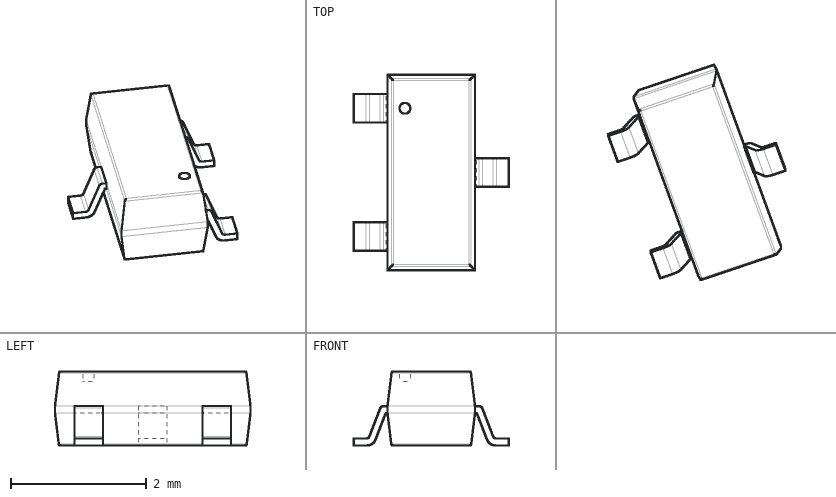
import cadquery as cq
import math

BODY_X = 1.3
BODY_Y = 2.9
BODY_Z = 1.1
DRAFT = 7.0
BODY_EDGE_RADIUS = 0.03

MARK_DIAMETER = 0.16
MARK_DEPTH = 0.15
MARK_X = -0.39

SPAN_X = 2.3
LEAD_WIDTH = 0.425
LEAD_THICKNESS = 0.105
LEAD_TOP = 0.585
SHOULDER_LENGTH = 0.095
FOOT_LENGTH = 0.22
BEND_RADIUS = 0.05
HEEL_RADIUS = 0.14
ROW_PITCH = 1.9

band_bottom = LEAD_TOP - LEAD_THICKNESS
mark_y = ROW_PITCH / 2


def make_body():
    """Straight parting band with tapered halves above and below it, and a pin-1 mark."""
    band = cq.Workplane("XY").workplane(offset=band_bottom).rect(BODY_X, BODY_Y).extrude(LEAD_THICKNESS)
    upper = (
        cq.Workplane("XY").workplane(offset=LEAD_TOP)
        .rect(BODY_X, BODY_Y).extrude(BODY_Z - LEAD_TOP, taper=DRAFT)
    )
    lower = (
        cq.Workplane("XY").workplane(offset=band_bottom)
        .rect(BODY_X, BODY_Y).extrude(-band_bottom, taper=DRAFT)
    )
    upper = upper.faces(">Z").edges().fillet(BODY_EDGE_RADIUS)
    lower = lower.faces("<Z").edges().fillet(BODY_EDGE_RADIUS)
    mark = (
        cq.Workplane("XY").workplane(offset=BODY_Z - MARK_DEPTH)
        .center(MARK_X, mark_y).circle(MARK_DIAMETER / 2).extrude(MARK_DEPTH)
    )
    return band.union(upper).union(lower).cut(mark)


def make_lead(side, y):
    """Gull-wing lead butting on the body's parting band; side is +1 or -1 along X."""
    root_x = BODY_X / 2
    tip_x = SPAN_X / 2
    knee_x = root_x + SHOULDER_LENGTH
    heel_x = tip_x - FOOT_LENGTH

    bend_angle = math.atan2(LEAD_TOP - LEAD_THICKNESS, heel_x - knee_x)
    corner_shift = LEAD_THICKNESS * math.tan(bend_angle / 2)

    outline = [
        (root_x, LEAD_TOP),
        (knee_x, LEAD_TOP),
        (heel_x, LEAD_THICKNESS),
        (tip_x, LEAD_THICKNESS),
        (tip_x, 0),
        (heel_x - corner_shift, 0),
        (knee_x - corner_shift, band_bottom),
        (root_x, band_bottom),
    ]
    lead = (
        cq.Workplane("XZ", origin=(0, y, 0))
        .polyline([(side * x, z) for x, z in outline]).close()
        .extrude(LEAD_WIDTH / 2, both=True)
    )

    def round_corner(solid, x, z, radius):
        return solid.edges(cq.selectors.NearestToPointSelector((side * x, y, z))).fillet(radius)

    lead = round_corner(lead, knee_x, LEAD_TOP, BEND_RADIUS)
    lead = round_corner(lead, heel_x, LEAD_THICKNESS, BEND_RADIUS)
    return round_corner(lead, heel_x - corner_shift, 0, HEEL_RADIUS)


body = make_body()

lead_places = [(-1, -ROW_PITCH / 2), (-1, ROW_PITCH / 2), (1, 0)]
leads = [make_lead(side, y) for side, y in lead_places]

result = cq.Compound.makeCompound([body.val(), *[lead.val() for lead in leads]])